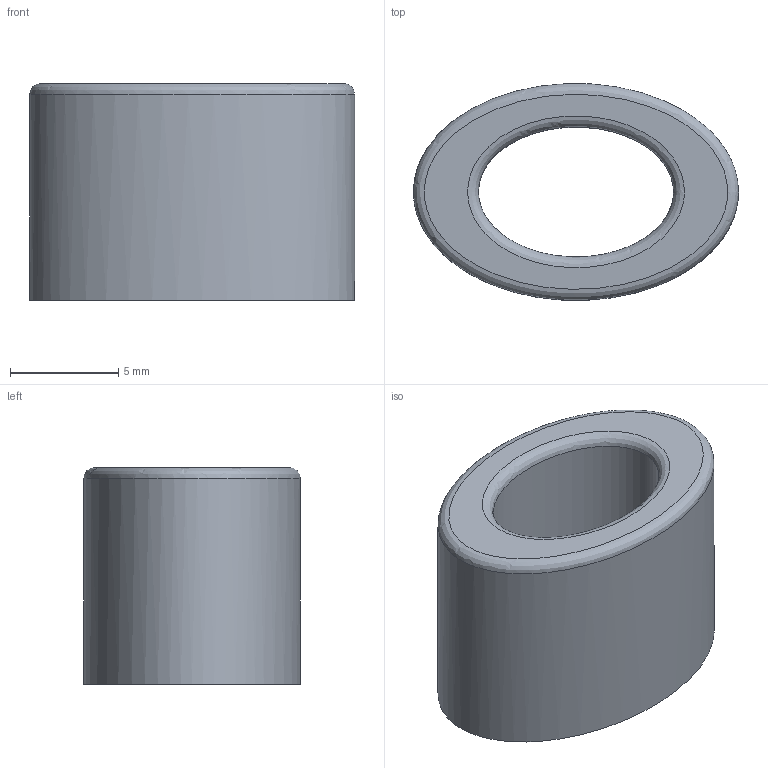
import cadquery as cq

outer_length = 15.0
outer_width = 10.0
height = 10.0
bore_ratio = 0.6
rim_radius = 0.5


def elliptical_column(length, width):
    """Upright elliptical column standing on the XY plane."""
    return cq.Workplane("XY").ellipse(length / 2, width / 2).extrude(height)


body = elliptical_column(outer_length, outer_width)
bore = elliptical_column(outer_length * bore_ratio, outer_width * bore_ratio)
sleeve = body.cut(bore)

result = sleeve.faces(">Z").edges().fillet(rim_radius)